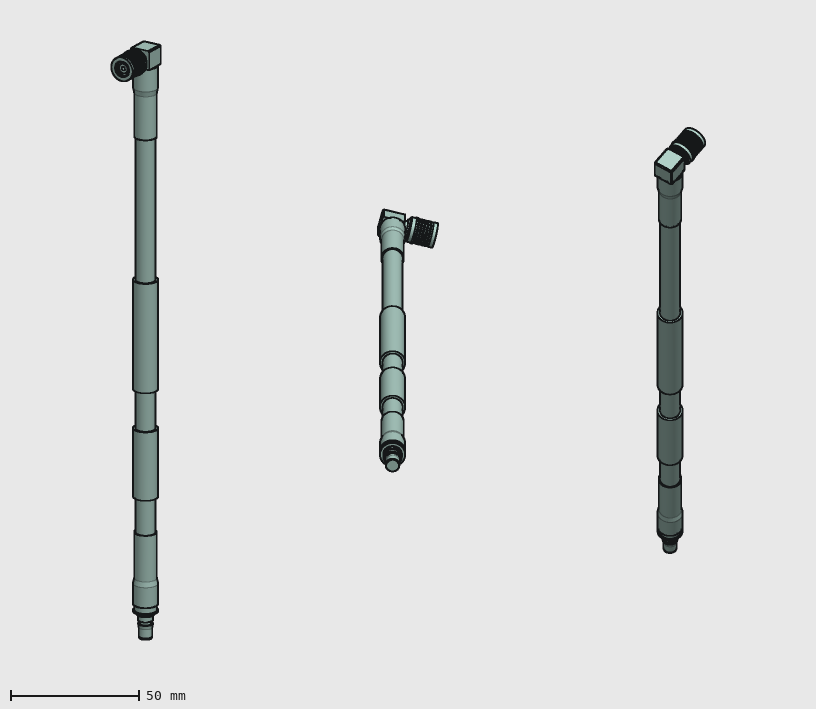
import cadquery as cq


TOTAL_HEIGHT = 247.5

CABLE_RADIUS = 4.0
CABLE_BOTTOM = 44.0
CABLE_TOP = 209.0

SLEEVE_RADIUS = 5.0
SLEEVE_SPANS = [(59.0, 87.5), (103.7, 149.3)]

COLLAR_RADIUS = 5.0
FERRULE_RADIUS = 4.5
SHOULDER_HEIGHT = 2.2

TIP_RADIUS = 2.7
TIP_TAPER = 0.2
TIP_TAPER_HEIGHT = 0.7
TIP_BARREL_TOP = 4.5
TIP_CONE_RADIUS = 3.0
TIP_GROOVE_BOTTOM = 6.0
TIP_GROOVE_TOP = 7.5
TIP_GROOVE_RADIUS = 2.2
STEP_BOTTOM = 9.7
STEP_RADIUS = 3.7
STEP_CHAMFER = 0.5
LIP_BOTTOM = 11.1
LIP_TOP = 11.6
LOWER_COLLAR_BOTTOM = 14.0
LOWER_COLLAR_TOP = 22.8
COLLAR_GROOVE_RADIUS = 4.5

UPPER_COLLAR_BOTTOM = 229.5
BLOCK_WIDTH = 8.5
BLOCK_BACK = COLLAR_RADIUS
BLOCK_FRONT = -4.0
BLOCK_BOTTOM = 238.5
BLOCK_TOP = 246.5
BLOCK_CHAMFER = 0.5

NUT_RING_RADIUS = 5.2
NUT_RADIUS = 5.0
NUT_BACK_CHAMFER = 0.5
NUT_BACK = -6.2
NUT_FRONT = -17.0
NUT_LENGTH = NUT_BACK - NUT_FRONT
NUT_AXIS_Z = TOTAL_HEIGHT - NUT_RING_RADIUS
RING_START = 2.2
RING_LENGTH = 0.7
GRIP_GROOVE_COUNT = 5
GRIP_GROOVE_WIDTH = 0.7
GRIP_GROOVE_DEPTH = 0.2
GRIP_GROOVE_PITCH = 1.2
GRIP_START = RING_START + RING_LENGTH + 0.5
NECK_RADIUS = 3.0
NECK_FLANGE_RADIUS = 3.7
NECK_FLANGE_LENGTH = 0.7

MOUTH_RADIUS = 3.2
MOUTH_DEPTH = 1.0
BORE_RADIUS = 2.7
BORE_DEPTH = 5.0
CONTACT_RADIUS = 2.0
CONTACT_RECESS = 1.0
CONTACT_HOLE_RADIUS = 0.7
CONTACT_HOLE_DEPTH = 2.5


def upright_cylinder(radius, bottom, top):
    return cq.Workplane("XY", origin=(0, 0, bottom)).circle(radius).extrude(top - bottom)


def nut_cylinder(radius, start, length):
    """Cylinder on the nut axis, starting `start` in front of the nut's back face."""
    start_face = cq.Workplane("XZ", origin=(0, NUT_BACK - start, NUT_AXIS_Z))
    return start_face.circle(radius).extrude(length)


def make_cable():
    return upright_cylinder(CABLE_RADIUS, CABLE_BOTTOM, CABLE_TOP)


def make_sleeve(bottom, top):
    sleeve = upright_cylinder(SLEEVE_RADIUS, bottom, top)
    return sleeve.cut(upright_cylinder(CABLE_RADIUS, bottom, top))


def make_straight_plug():
    profile = [
        (0, 0),
        (TIP_RADIUS - TIP_TAPER, 0),
        (TIP_RADIUS, TIP_TAPER_HEIGHT),
        (TIP_RADIUS, TIP_BARREL_TOP),
        (TIP_CONE_RADIUS, TIP_GROOVE_BOTTOM),
        (TIP_GROOVE_RADIUS, TIP_GROOVE_BOTTOM),
        (TIP_GROOVE_RADIUS, TIP_GROOVE_TOP),
        (TIP_CONE_RADIUS, TIP_GROOVE_TOP),
        (TIP_CONE_RADIUS, STEP_BOTTOM),
        (STEP_RADIUS - STEP_CHAMFER, STEP_BOTTOM),
        (STEP_RADIUS, STEP_BOTTOM + STEP_CHAMFER),
        (STEP_RADIUS, LIP_BOTTOM),
        (COLLAR_RADIUS, LIP_BOTTOM),
        (COLLAR_RADIUS, LIP_TOP),
        (COLLAR_GROOVE_RADIUS, LIP_TOP),
        (COLLAR_GROOVE_RADIUS, LOWER_COLLAR_BOTTOM),
        (COLLAR_RADIUS, LOWER_COLLAR_BOTTOM),
        (COLLAR_RADIUS, LOWER_COLLAR_TOP),
        (FERRULE_RADIUS, LOWER_COLLAR_TOP + SHOULDER_HEIGHT),
        (FERRULE_RADIUS, CABLE_BOTTOM),
        (0, CABLE_BOTTOM),
    ]
    return cq.Workplane("XZ").polyline(profile).close().revolve(360, (0, 0, 0), (0, 1, 0))


def make_angle_stem():
    """Ferrule, shoulder and collar below the block."""
    profile = [
        (0, CABLE_TOP),
        (FERRULE_RADIUS, CABLE_TOP),
        (FERRULE_RADIUS, UPPER_COLLAR_BOTTOM - SHOULDER_HEIGHT),
        (COLLAR_RADIUS, UPPER_COLLAR_BOTTOM),
        (COLLAR_RADIUS, BLOCK_BOTTOM),
        (0, BLOCK_BOTTOM),
    ]
    return cq.Workplane("XZ").polyline(profile).close().revolve(360, (0, 0, 0), (0, 1, 0))


def make_angle_block():
    block = (
        cq.Workplane("XY", origin=(0, (BLOCK_BACK + BLOCK_FRONT) / 2, BLOCK_BOTTOM))
        .rect(BLOCK_WIDTH, BLOCK_BACK - BLOCK_FRONT)
        .extrude(BLOCK_TOP - BLOCK_BOTTOM)
    )
    return block.faces(">Y or >Z").edges("not(<Y or <Z)").chamfer(BLOCK_CHAMFER)


def make_nut():
    nut = nut_cylinder(NUT_RADIUS, 0, NUT_LENGTH).edges(">Y").chamfer(NUT_BACK_CHAMFER)
    for index in range(GRIP_GROOVE_COUNT):
        start = GRIP_START + index * GRIP_GROOVE_PITCH
        groove = nut_cylinder(NUT_RING_RADIUS, start, GRIP_GROOVE_WIDTH)
        core = nut_cylinder(NUT_RADIUS - GRIP_GROOVE_DEPTH, start, GRIP_GROOVE_WIDTH)
        nut = nut.cut(groove.cut(core))
    nut = nut.union(nut_cylinder(NUT_RING_RADIUS, RING_START, RING_LENGTH))

    bore = nut_cylinder(BORE_RADIUS, NUT_LENGTH - BORE_DEPTH, BORE_DEPTH)
    contact = nut_cylinder(CONTACT_RADIUS, NUT_LENGTH - BORE_DEPTH, BORE_DEPTH - CONTACT_RECESS)
    contact_hole = nut_cylinder(
        CONTACT_HOLE_RADIUS,
        NUT_LENGTH - CONTACT_RECESS - CONTACT_HOLE_DEPTH,
        CONTACT_HOLE_DEPTH,
    )
    mouth = nut_cylinder(MOUTH_RADIUS, NUT_LENGTH - MOUTH_DEPTH, MOUTH_DEPTH)
    return nut.cut(mouth).cut(bore.cut(contact)).cut(contact_hole)


def make_angle_plug():
    neck = nut_cylinder(NECK_RADIUS, NUT_BACK - BLOCK_FRONT, BLOCK_FRONT - NUT_BACK)
    neck_flange = nut_cylinder(NECK_FLANGE_RADIUS, -NECK_FLANGE_LENGTH, NECK_FLANGE_LENGTH)
    plug = make_angle_stem().union(make_angle_block())
    return plug.union(neck).union(neck_flange).union(make_nut())


cable = make_cable()
sleeves = [make_sleeve(bottom, top) for bottom, top in SLEEVE_SPANS]
straight_plug = make_straight_plug()
angle_plug = make_angle_plug()

result = cq.Compound.makeCompound(
    [
        cable.val(),
        *[sleeve.val() for sleeve in sleeves],
        straight_plug.val(),
        angle_plug.val(),
    ]
)